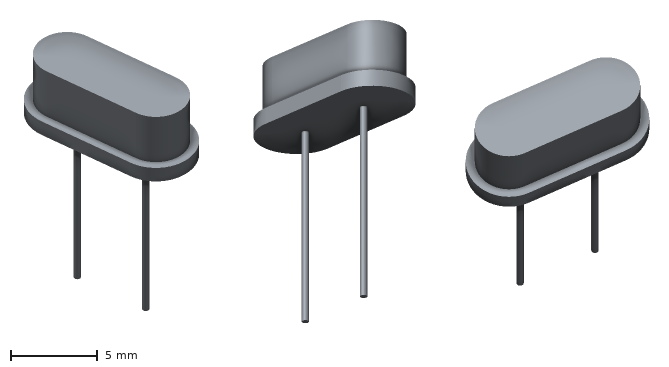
import cadquery as cq

total_height = 16.4
flange_length = 11.35
flange_width = 5.0
flange_height = 1.02
can_height = 3.4
flange_margin = 0.52

lead_diameter = 0.43
lead_pitch = 4.89

can_length = flange_length - 2 * flange_margin
can_width = flange_width - 2 * flange_margin
lead_length = total_height - flange_height - can_height


def stadium(length, width, height, base_z):
    """Upright block with semicircular ends, standing on base_z."""
    return cq.Workplane("XY").workplane(offset=base_z).slot2D(length, width).extrude(height)


flange = stadium(flange_length, flange_width, flange_height, 0)
can = stadium(can_length, can_width, can_height, flange_height)

lead_centers = [(-lead_pitch / 2, 0), (lead_pitch / 2, 0)]
leads = cq.Workplane("XY").pushPoints(lead_centers).circle(lead_diameter / 2).extrude(-lead_length)

result = flange.union(can).union(leads)